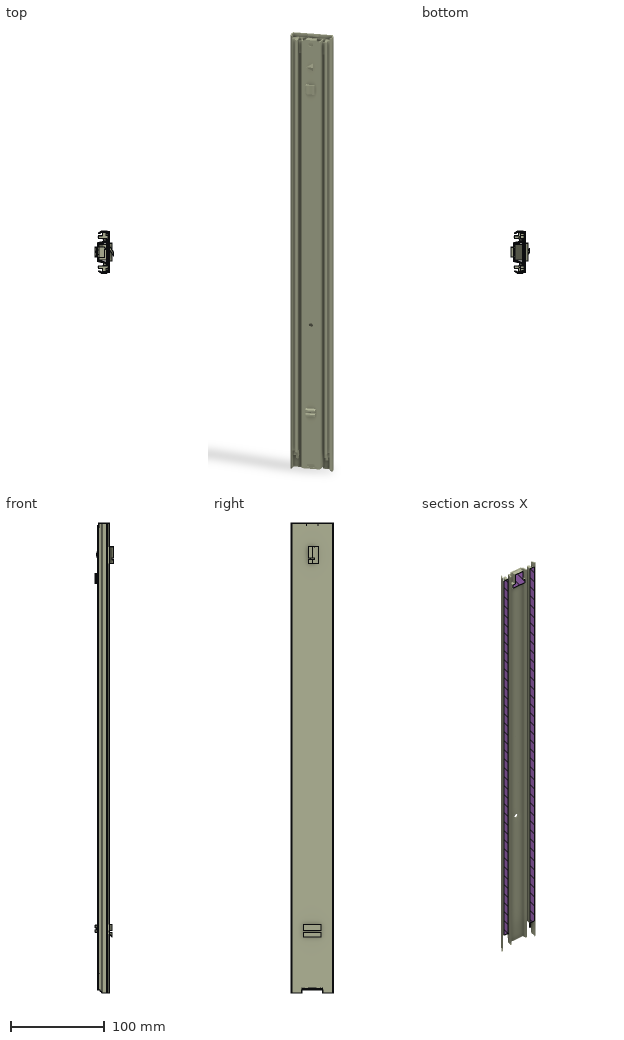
import cadquery as cq

LENGTH = 500.0
TOP = LENGTH / 2
BOTTOM = -LENGTH / 2
WIDTH = 45.5
HALF_WIDTH = WIDTH / 2
SHEET = 1.25

OUTER_BACK = 5.5
OUTER_FLOOR = OUTER_BACK - SHEET
MIDDLE_BACK = 3.75
MIDDLE_FLOOR = MIDDLE_BACK - SHEET
FACE = -7.0
FACE_BACK = FACE + SHEET
HOOK_BACK = 10.0
HOOK_FRONT = -10.0

SHOULDER = HALF_WIDTH - 1.0
TRACK_EDGE = 2.25
LIP_X = -6.0
LIP_INSIDE = 20.0
LIP_OUTSIDE = 20.5
TOP_BEVEL_HALF = 6.0
TOP_BEVEL_DEPTH = 3.0
BOTTOM_NOTCH_HALF = 11.0
BOTTOM_NOTCH_DEPTH = 5.0
LIP_BEVEL = 4.0

MIDDLE_TOP = TOP - 4.0
MIDDLE_BOTTOM = -229.0
FLANGE_IN = 14.5
FLANGE_OUT = 17.5
FLANGE_TIP = -6.5
RACE_OUT = 21.0
RACE_HALF = 2.0
FLANGE_SHOULDER = -6.0

INNER_TOP = TOP - 4.0
INNER_BOTTOM = BOTTOM + 3.5
INNER_WEB_HALF = 10.0
TONGUE_HALF = 7.0
TONGUE_RISE = 1.5
INNER_SIDE = 12.0
INNER_BACK = 2.0
TOP_HOLE_Z = 242.5
TOP_HOLE_DIA = 5.0
LOW_HOLE_Z = -81.0
LOW_HOLE_DIA = 4.5

PAD_IN = 11.0
PAD_OUT = 14.0
PAD_FRONT = -0.5
PAD_TOP = 243.0
PAD_BOTTOM = 229.5
PAD_RISE = 0.5

POINTER_TIP_Y = 4.5
POINTER_BASE_Y = -2.5
POINTER_Z = 216.5
POINTER_HALF = 4.5
POINTER_RISE = 1.5

TAB_TOP = 196.5
TAB_BOTTOM = 186.0
TAB_ROOT_Y = 5.0
TAB_FREE_Y = -4.5
TAB_SHEET = 1.5
TAB_VALLEY_Y = 0.75
TAB_CREST_Y = -2.25
TAB_VALLEY_DEPTH = 0.5
TAB_CREST_DEPTH = 0.25
TAB_CHAMFER = 1.5
SADDLE_Z = -181.5
SADDLE_HALF = 4.5
SADDLE_CREST = 3.5
SADDLE_VALLEY = 1.5
SADDLE_GROOVE = 1.5
SADDLE_WIDTH = 10.5

UPPER_HOOK_TOP = 225.0
UPPER_HOOK_BOTTOM = 207.0
UPPER_HOOK_SLOT_Z = 212.0
UPPER_HOOK_SLOT = 1.5
UPPER_HOOK_SLOT_DEPTH = 1.5
UPPER_HOOK_ROOT_Y = 4.5
UPPER_HOOK_TIP_Y = -2.0
UPPER_HOOK_WIDTH = 4.0
LOWER_HOOK_WIDTH = 19.0
LOWER_HOOK_X = 8.5
LOWER_HOOK_TOP = -177.0
LOWER_HOOK_BOTTOM = -190.5
LOWER_HOOK_GAP_Z = -184.5
LOWER_HOOK_GAP = 2.0
LOWER_HOOK_TAPER = 3.0

STOP_IN = 14.0
STOP_OUT = 20.0
STOP_LENGTH = 6.0
STOP_FRONT = -1.5
STOP_NOSE = 3.5
STOP_SLOPE = (15.5, 17.0)
STOP_STEP = 1.5

BUMPER_HALF = 5.5
BUMPER_TOP = TOP - 3.0
BUMPER_BOTTOM = 230.0
BUMPER_BACK = 0.0
BUMPER_BAR = (3.0, 4.5)
BUMPER_BAR_RISE = 1.5
BUMPER_SKIRT_HALF = 8.5
BUMPER_SKIRT_HEIGHT = 5.0

LATCH_BASE_TOP = -242.0
LATCH_TOP = -240.0
LATCH_POCKET = (-244.5, -241.0)
LATCH_POCKET_DEPTH = 0.5
LATCH_HALF = 4.0
EAR_Y = 5.5
EAR_Z = -240.0
EAR_RADIUS = 3.0


def box(x, y, z):
    """A box between the two ends given for each axis."""
    size = (x[1] - x[0], y[1] - y[0], z[1] - z[0])
    return cq.Workplane("XY").box(*size, centered=False).translate((x[0], y[0], z[0]))


def along_z(points, bottom, top):
    """An (x, y) outline extruded between two heights."""
    return cq.Workplane("XY", origin=(0, 0, bottom)).polyline(points).close().extrude(top - bottom)


def channel(half_section, bottom, top):
    """A channel symmetric about y = 0; the half section runs from its back around to its front."""
    other_half = [(x, -y) for x, y in reversed(half_section)]
    return along_z(half_section + other_half, bottom, top)


def along_y(points, width):
    """An (x, z) outline extruded across the width, centred on y = 0."""
    outline = cq.Workplane("XZ").polyline(points).close()
    return outline.extrude(width / 2, both=True)


def both_sides(solid):
    """The given solid of the +Y side, and its mirror image on the -Y side."""
    return [solid, solid.mirror("XZ")]


def upper_rear_hook():
    """A hook that leans toward -Y, with a slot across its tip."""
    half = UPPER_HOOK_WIDTH / 2
    section = [
        (OUTER_BACK, UPPER_HOOK_ROOT_Y - half),
        (HOOK_BACK, UPPER_HOOK_TIP_Y - half),
        (HOOK_BACK, UPPER_HOOK_TIP_Y + half),
        (OUTER_BACK, UPPER_HOOK_ROOT_Y + half),
    ]
    hook = along_z(section, UPPER_HOOK_BOTTOM, UPPER_HOOK_TOP)
    slot = box(
        (HOOK_BACK - UPPER_HOOK_SLOT_DEPTH, HOOK_BACK),
        (-HALF_WIDTH, HALF_WIDTH),
        (UPPER_HOOK_SLOT_Z - UPPER_HOOK_SLOT / 2, UPPER_HOOK_SLOT_Z + UPPER_HOOK_SLOT / 2),
    )
    return hook.cut(slot)


def lower_rear_hooks():
    """Two wide hooks, one above the other, the lower one tapered underneath."""
    upper = box(
        (OUTER_BACK, LOWER_HOOK_X),
        (-LOWER_HOOK_WIDTH / 2, LOWER_HOOK_WIDTH / 2),
        (LOWER_HOOK_GAP_Z + LOWER_HOOK_GAP / 2, LOWER_HOOK_TOP),
    )
    gap_bottom = LOWER_HOOK_GAP_Z - LOWER_HOOK_GAP / 2
    lower = along_y(
        [
            (OUTER_BACK, gap_bottom),
            (LOWER_HOOK_X, gap_bottom),
            (LOWER_HOOK_X, LOWER_HOOK_BOTTOM),
            (OUTER_BACK, LOWER_HOOK_BOTTOM + LOWER_HOOK_TAPER),
        ],
        LOWER_HOOK_WIDTH,
    )
    return upper.union(lower)


def make_outer_rail():
    rail = channel(
        [
            (OUTER_BACK, SHOULDER),
            (TRACK_EDGE + SHEET, SHOULDER),
            (TRACK_EDGE, HALF_WIDTH),
            (-TRACK_EDGE, HALF_WIDTH),
            (LIP_X, LIP_OUTSIDE),
            (LIP_X, LIP_INSIDE),
            (LIP_X + SHEET, LIP_INSIDE),
            (-TRACK_EDGE, HALF_WIDTH - SHEET),
            (TRACK_EDGE, HALF_WIDTH - SHEET),
            (TRACK_EDGE + SHEET, SHOULDER - SHEET),
            (OUTER_FLOOR, SHOULDER - SHEET),
        ],
        BOTTOM,
        TOP,
    )
    top_bevel = [(OUTER_FLOOR, TOP - TOP_BEVEL_DEPTH), (OUTER_BACK, TOP), (OUTER_FLOOR, TOP)]
    rail = rail.cut(along_y(top_bevel, 2 * TOP_BEVEL_HALF))
    web = (OUTER_FLOOR, OUTER_BACK)
    rail = rail.cut(
        box(web, (-BOTTOM_NOTCH_HALF, BOTTOM_NOTCH_HALF), (BOTTOM, BOTTOM + BOTTOM_NOTCH_DEPTH))
    )
    bevel = [(LIP_X, BOTTOM), (LIP_X + LIP_BEVEL, BOTTOM), (LIP_X, BOTTOM + LIP_BEVEL)]
    rail = rail.cut(along_y(bevel, WIDTH))
    return rail.union(upper_rear_hook()).union(lower_rear_hooks())


def make_middle_rail():
    flange_middle = (FLANGE_IN + FLANGE_OUT) / 2
    return channel(
        [
            (MIDDLE_BACK, FLANGE_OUT),
            (RACE_HALF, FLANGE_OUT),
            (RACE_HALF, RACE_OUT),
            (-RACE_HALF, RACE_OUT),
            (-RACE_HALF, FLANGE_OUT),
            (FLANGE_SHOULDER, FLANGE_OUT),
            (FLANGE_TIP, flange_middle),
            (FLANGE_SHOULDER, FLANGE_IN),
            (MIDDLE_FLOOR, FLANGE_IN),
        ],
        MIDDLE_BOTTOM,
        MIDDLE_TOP,
    )


def front_tab():
    """A ribbed tab bent out of the inner rail web, open at its -Y edge and along its ends."""
    valley = HOOK_FRONT + TAB_VALLEY_DEPTH
    crest = HOOK_FRONT + TAB_CREST_DEPTH
    leg_inside = TAB_ROOT_Y - TAB_SHEET
    section = [
        (FACE, TAB_ROOT_Y),
        (HOOK_FRONT, TAB_ROOT_Y),
        (HOOK_FRONT, leg_inside),
        (valley, TAB_VALLEY_Y),
        (crest, TAB_CREST_Y),
        (valley, TAB_FREE_Y),
        (valley + TAB_SHEET, TAB_FREE_Y),
        (valley + TAB_SHEET, leg_inside),
        (FACE, leg_inside),
    ]
    tab = along_z(section, TAB_BOTTOM, TAB_TOP)
    corner = [
        (TAB_ROOT_Y, TAB_BOTTOM),
        (TAB_ROOT_Y - TAB_CHAMFER, TAB_BOTTOM),
        (TAB_ROOT_Y, TAB_BOTTOM + TAB_CHAMFER),
    ]
    cutter = cq.Workplane("YZ", origin=(HOOK_FRONT, 0, 0)).polyline(corner).close()
    return tab.cut(cutter.extrude(FACE - HOOK_FRONT))


def front_saddle():
    """A bridge across the inner rail web with sloped ends and a rounded groove along its crest."""
    return (
        cq.Workplane("XZ", origin=(0, 0, SADDLE_Z))
        .moveTo(FACE, SADDLE_HALF)
        .lineTo(HOOK_FRONT, SADDLE_CREST)
        .lineTo(HOOK_FRONT, SADDLE_VALLEY)
        .threePointArc((HOOK_FRONT + SADDLE_GROOVE, 0), (HOOK_FRONT, -SADDLE_VALLEY))
        .lineTo(HOOK_FRONT, -SADDLE_CREST)
        .lineTo(FACE, -SADDLE_HALF)
        .close()
        .extrude(SADDLE_WIDTH / 2, both=True)
    )


def pointer():
    """A triangular bump pointing to +Y, with a ridge along its middle."""
    low = POINTER_Z - POINTER_HALF
    high = POINTER_Z + POINTER_HALF
    crest = FACE - POINTER_RISE
    triangle = (
        cq.Workplane("YZ", origin=(crest, 0, 0))
        .polyline([(POINTER_TIP_Y, POINTER_Z), (POINTER_BASE_Y, high), (POINTER_BASE_Y, low)])
        .close()
        .extrude(POINTER_RISE)
    )
    roof = along_y([(FACE, low), (crest, POINTER_Z), (FACE, high)], WIDTH)
    return triangle.intersect(roof)


def guide_pad():
    """The pad of the +Y side, its front rising outward."""
    section = [
        (INNER_BACK, PAD_IN),
        (PAD_FRONT, PAD_IN),
        (PAD_FRONT - PAD_RISE, PAD_OUT),
        (INNER_BACK, PAD_OUT),
    ]
    return along_z(section, PAD_BOTTOM, PAD_TOP)


def make_latch():
    """A plate flush with the inner rail web: a wide base, a middle and two round ears."""
    web = (FACE, FACE_BACK)
    base_half = INNER_WEB_HALF - SHEET
    latch = box(web, (-base_half, base_half), (INNER_BOTTOM, LATCH_BASE_TOP))
    latch = latch.union(box(web, (-LATCH_HALF, LATCH_HALF), (LATCH_BASE_TOP, LATCH_TOP)))
    ear = cq.Workplane("YZ", origin=(FACE, EAR_Y, EAR_Z)).circle(EAR_RADIUS).extrude(SHEET)
    for side in both_sides(ear):
        latch = latch.union(side)
    return latch


def latch_pocket():
    return box((FACE, FACE + LATCH_POCKET_DEPTH), (-LATCH_HALF, LATCH_HALF), LATCH_POCKET)


def make_inner_rail():
    rail = channel(
        [
            (FACE_BACK, INNER_WEB_HALF - SHEET),
            (INNER_BACK, INNER_SIDE - SHEET),
            (INNER_BACK, INNER_SIDE),
            (FACE, INNER_WEB_HALF),
        ],
        INNER_BOTTOM,
        INNER_TOP,
    )
    tongue = box((FACE, FACE_BACK), (-TONGUE_HALF, TONGUE_HALF), (INNER_TOP, INNER_TOP + TONGUE_RISE))
    rail = rail.union(tongue)
    for z, diameter in ((TOP_HOLE_Z, TOP_HOLE_DIA), (LOW_HOLE_Z, LOW_HOLE_DIA)):
        hole = cq.Workplane("YZ", origin=(FACE, 0, z)).circle(diameter / 2).extrude(SHEET)
        rail = rail.cut(hole)
    for feature in (front_tab(), front_saddle(), pointer(), *both_sides(guide_pad())):
        rail = rail.union(feature)
    return rail.cut(make_latch())


def make_stop_block():
    """The stop of the +Y side: a block with a sloped front and a narrower nose below it."""
    slope_in, slope_out = STOP_SLOPE
    low_front = STOP_FRONT + STOP_STEP
    section = [
        (OUTER_FLOOR, STOP_IN),
        (STOP_FRONT, STOP_IN),
        (STOP_FRONT, slope_in),
        (low_front, slope_out),
        (low_front, STOP_OUT),
        (OUTER_FLOOR, STOP_OUT),
    ]
    block_bottom = MIDDLE_BOTTOM - STOP_LENGTH
    block = along_z(section, block_bottom, MIDDLE_BOTTOM)
    nose = box(
        (low_front, OUTER_FLOOR), (FLANGE_IN, FLANGE_OUT), (block_bottom - STOP_NOSE, block_bottom)
    )
    return block.union(nose)


def make_bumper():
    """A block against the back of the inner rail web, with a raised bar on its back and a wider skirt."""
    height = (BUMPER_BOTTOM, BUMPER_TOP)
    block = box((FACE_BACK, BUMPER_BACK), (-BUMPER_HALF, BUMPER_HALF), height)
    bar = box((BUMPER_BACK, BUMPER_BACK + BUMPER_BAR_RISE), BUMPER_BAR, height)
    skirt = box(
        (FACE_BACK, MIDDLE_FLOOR),
        (-BUMPER_SKIRT_HALF, BUMPER_SKIRT_HALF),
        (BUMPER_BOTTOM, BUMPER_BOTTOM + BUMPER_SKIRT_HEIGHT),
    )
    return block.union(bar).union(skirt)


outer_rail = make_outer_rail()
middle_rail = make_middle_rail()
inner_rail = make_inner_rail()
bumper = make_bumper()
latch = make_latch().cut(latch_pocket())
stop_blocks = both_sides(make_stop_block())

result = cq.Compound.makeCompound(
    [
        outer_rail.val(),
        middle_rail.val(),
        inner_rail.val(),
        bumper.val(),
        latch.val(),
        *[block.val() for block in stop_blocks],
    ]
)